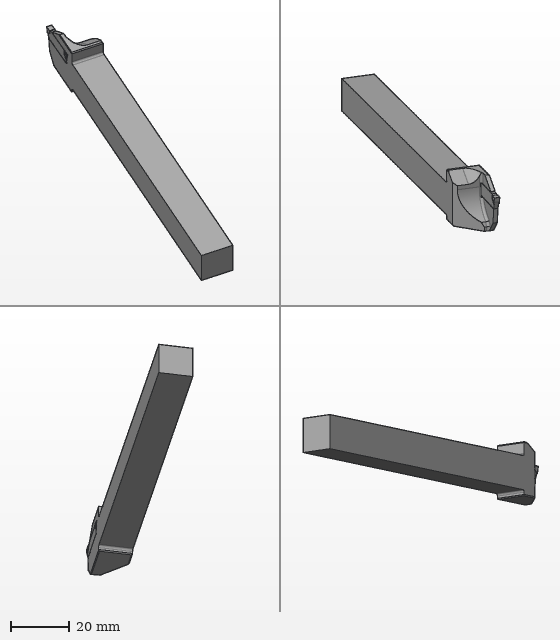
import cadquery as cq
import math

overall_length = 125.0
shank_size = 12.0
shank_bottom = 2.0

head_height = 19.0
head_rear = 20.0
head_bevel = 0.4
face_bevel_width = 0.15
shoulder_radius = 0.8

insert_length = 16.25
insert_height = 4.55
insert_tilt = 2.0
tip_clearance = math.tan(math.radians(7.0))
tip_clearance_depth = 1.7
insert_end_taper = math.tan(math.radians(18.0))
tip_corner_z = 14.2
tip_width = 2.0
tip_side_clearance = 0.19
tip_length = 2.35
tip_flank_height = 1.2
tip_relief_depth = 2.6
land_rise = 0.35
land_ramp = 0.6
pocket_rear_gap = 0.35
pocket_depth = 2.1

blade_thickness = tip_width - 2 * tip_side_clearance
blade_chamfer_top = (1.9, 4.2)
blade_chamfer_foot = 5.5
blade_seat_front = (1.25, 9.75)

jaw_top_start = 10.0
jaw_nose_x = 4.1
jaw_lip = (4.6, 14.6)
jaw_slope = math.tan(math.radians(33.7))

relief_foot_x = 5.6
relief_foot_z = 1.6
relief_scoop_start = (6.4, 3.15)
relief_wall_x = 12.9
scoop_radius = 11.57
scoop_axis_z = 13.7
scoop_corner_radius = 1.0
ramp_start_z = 15.2
ramp_corner_radius = 5.0

corner_cut_start_x = 14.2

margin = 5.0


def side_prism(points, y_start, y_end):
    """Polygon in X and Z, extruded between two Y positions."""
    outline = cq.Workplane("XZ", origin=(0, y_start, 0)).polyline(points).close()
    return outline.extrude(y_start - y_end)


def tilted(body):
    """Turn a body from the insert's own axes (origin at the front tip corner) into place."""
    turned = body.rotate((0, 0, 0), (0, 1, 0), -insert_tilt)
    return turned.translate((0, 0, tip_corner_z))


def end_face_x(depth):
    """Distance of a tapered insert end from its tip corner, at a depth below it."""
    steep_depth = max(depth - tip_clearance_depth, 0)
    return (depth - steep_depth) * tip_clearance + steep_depth * insert_end_taper


def mirrored_end(points):
    return [(insert_length - x, z) for x, z in points]


def insert_outline():
    front = [
        (end_face_x(insert_height), -insert_height),
        (end_face_x(tip_clearance_depth), -tip_clearance_depth),
        (0, 0),
        (tip_length, 0),
        (tip_length + land_ramp, land_rise),
    ]
    return front + mirrored_end(front)[::-1]


def tip_outline():
    return [
        (0, 0),
        (tip_length, 0),
        (tip_length, -tip_flank_height),
        (end_face_x(tip_relief_depth), -tip_relief_depth),
        (end_face_x(tip_clearance_depth), -tip_clearance_depth),
    ]


def tip(points):
    return side_prism(points, -tip_side_clearance, tip_width - tip_side_clearance)


def make_insert():
    body = side_prism(insert_outline(), 0, blade_thickness)
    body = body.union(tip(tip_outline()))
    body = body.union(tip(mirrored_end(tip_outline())))
    return tilted(body)


def make_pocket():
    """Open-fronted slot for the insert, deep enough to clear its rear tip."""
    rear = insert_length + pocket_rear_gap
    slot = side_prism(
        [
            (-margin, -insert_height),
            (rear - end_face_x(insert_height), -insert_height),
            (rear, land_rise),
            (-margin, land_rise),
        ],
        -margin,
        pocket_depth,
    )
    return tilted(slot)


def make_head():
    block = cq.Workplane("XY").box(head_rear, shank_size, head_height, centered=False)
    block = block.faces("<Z or >Z").edges(">X or >Y").chamfer(head_bevel)
    block = block.faces("<Y").edges("|X").chamfer(face_bevel_width, head_bevel)
    jaw_nose_z = head_height - (jaw_top_start - jaw_nose_x) * jaw_slope
    profile = side_prism(
        [
            (blade_chamfer_foot, 0),
            blade_chamfer_top,
            blade_seat_front,
            (jaw_lip[0], blade_seat_front[1]),
            jaw_lip,
            (jaw_nose_x, jaw_nose_z),
            (jaw_top_start, head_height),
            (head_rear, head_height),
            (head_rear, 0),
        ],
        0,
        shank_size,
    )
    return block.intersect(profile)


def make_scoop():
    """Cut behind the blade: short foot, concave arc and upright wall, rounded into the blade."""
    arc_angle = math.asin((scoop_axis_z - relief_scoop_start[1]) / scoop_radius) / 2
    axis_x = relief_wall_x - scoop_radius
    arc_middle = (
        axis_x + scoop_radius * math.cos(arc_angle),
        scoop_axis_z - scoop_radius * math.sin(arc_angle),
    )
    scoop = (
        cq.Workplane("XZ", origin=(0, blade_thickness, 0))
        .moveTo(-margin, -margin)
        .lineTo(relief_foot_x, -margin)
        .lineTo(relief_foot_x, relief_foot_z)
        .lineTo(*relief_scoop_start)
        .threePointArc(arc_middle, (relief_wall_x, scoop_axis_z))
        .lineTo(relief_wall_x, head_height + margin)
        .lineTo(-margin, head_height + margin)
        .close()
        .extrude(-shank_size)
    )
    return scoop.faces("<Y").edges().fillet(scoop_corner_radius)


def make_ramp():
    """Sloped cut above the scoop, rounded where it meets the blade."""
    reach = relief_wall_x + margin
    low = ramp_start_z - reach * jaw_slope
    high_x = relief_wall_x + reach
    high = ramp_start_z + reach * jaw_slope
    ramp = side_prism(
        [(-margin, low), (high_x, high), (-margin, high)],
        blade_thickness,
        blade_thickness + shank_size,
    )
    slope_edge = ramp.edges("<Y").edges("not(|X or |Z)")
    return slope_edge.fillet(ramp_corner_radius)


def make_corner_cut():
    """45 degree cut on the far side of the head, stopping at the back of the blade."""
    far_y = shank_size + margin
    run = far_y - blade_thickness
    far_x = corner_cut_start_x + margin
    return (
        cq.Workplane("XY", origin=(0, 0, -margin))
        .moveTo(far_x, far_y)
        .lineTo(far_x - run, blade_thickness)
        .lineTo(-margin, blade_thickness)
        .lineTo(-margin, far_y)
        .close()
        .extrude(head_height + 2 * margin)
    )


def make_shoulder(shank_face_z, outward):
    """Concave fillet between the rear of the head and a shank face; outward is +1 up or -1 down."""
    end_x = head_rear + shoulder_radius
    end_z = shank_face_z + outward * shoulder_radius
    arc_offset = shoulder_radius * math.sqrt(0.5)
    return (
        cq.Workplane("XZ")
        .moveTo(head_rear, shank_face_z)
        .lineTo(end_x, shank_face_z)
        .threePointArc((end_x - arc_offset, end_z - outward * arc_offset), (head_rear, end_z))
        .close()
        .extrude(-shank_size)
    )


def make_holder():
    shank = cq.Workplane("XY").box(overall_length - head_rear, shank_size, shank_size, centered=False)
    shank = shank.translate((head_rear, 0, shank_bottom))
    head = make_head().cut(make_scoop()).cut(make_ramp()).cut(make_corner_cut())
    holder = head.union(shank)
    holder = holder.union(make_shoulder(shank_bottom + shank_size, 1))
    holder = holder.union(make_shoulder(shank_bottom, -1))
    return holder.cut(make_pocket())


holder = make_holder()
insert = make_insert()
result = cq.Compound.makeCompound([holder.val(), insert.val()])